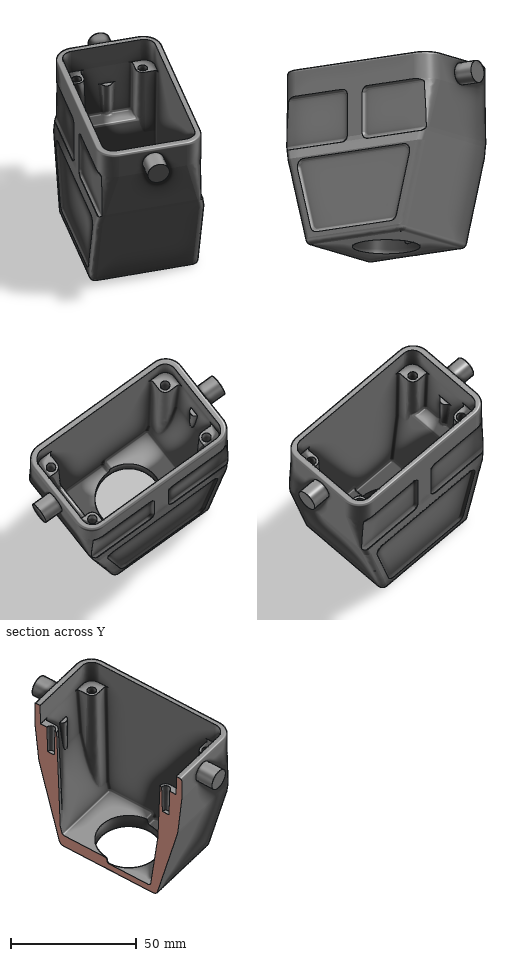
import cadquery as cq
import math

LENGTH = 89.2
HEIGHT = 72.1
WIDTH = 45.0

RIM_HALF_X = 36.6
RIM_HALF_Y = 21.6
RIM_CORNER = 7.6
RIM_BOTTOM_Z = 60.9
RIM_FILLET = 1.2
SHOULDER_TOP_Z = 41.4
SHOULDER_TOP_HALF_X = 34.6
SHOULDER_Z = 39.6
SHOULDER_HALF_X = 34.25
SHOULDER_HALF_Y = 21.8
SHOULDER_CORNER = 2.7
FLARE_Z = 35.7
BODY_HALF_Y = WIDTH / 2
BODY_CORNER = 2.6
BODY_SLOPE = 0.26
BASE_FILLET = 2.5

PEG_DIAMETER = 8.9
PEG_Z = 65.8
PEG_ROOT_X = 34.8

POCKET_DEPTH = 1.2
POCKET_INNER_X = 3.6
POCKET_TOP_Z = 61.1
POCKET_BOTTOM_Z = 39.6
POCKET_WALL = 1.2
POCKET_CORNER = 2.8
POCKET_FLOOR_FILLET = 1.1

PANEL_DEPTH = 0.9
PANEL_TOP_Z = 35.1
PANEL_BOTTOM_Z = 4.5
PANEL_TOP_HALF_X = 28.4
PANEL_WALL = 1.1
PANEL_CORNER = 3.1
PANEL_FLOOR_FILLET = 0.8

MOUTH_HALF_X = 33.7
MOUTH_HALF_Y = 19.1
MOUTH_CORNER = 4.7
WALL_DRAFT = 1.2
LEDGE_Z = 39.25
LEDGE_OUTER_X = 31.9
LEDGE_INNER_X = 25.3
DEEP_FLOOR_Z = 3.6
DEEP_FLOOR_END_X = 20.8
HIGH_FLOOR_Z = 6.2
END_WALL = 2.9
STEP_X = 0.5
CAVITY_FILLET = 1.25
HOLE_DIAMETER = 26.9

PILLAR_TOP_Z = 61.9
PILLAR_FACE_X = 25.5
PILLAR_FACE_Y = 10.7
PILLAR_CORNER = 2.9
PILLAR_DRAFT = 2.0
PILLAR_ROOT_Z = 13.4
PILLAR_ROOT_REACH = 3.0
SCREW_X = 28.45
SCREW_Y = 13.65
SCREW_TOP_DIAMETER = 3.75
SCREW_BOTTOM_DIAMETER = 3.0
SCREW_DEPTH = 13.4

RIB_RADIUS = 2.2
RIB_X = 33.2
RIB_TOP_Z = 53.9
RIB_FILLET = 1.6

CLEARANCE = 0.9


def wall_inset(z):
    """Distance by which the drafted cavity walls lean in between the rim and height z."""
    return (HEIGHT - z) * math.tan(math.radians(WALL_DRAFT))


WELL_HALF_X = MOUTH_HALF_X - wall_inset(PILLAR_TOP_Z)
WELL_HALF_Y = MOUTH_HALF_Y - wall_inset(PILLAR_TOP_Z)


def body_half_x(z):
    """Half length of the sloping lower body at height z."""
    return SHOULDER_HALF_X - BODY_SLOPE * (SHOULDER_Z - z)


def rounded_section(z, half_x, half_y, corner):
    """Rectangle with round corners, centred on the Z axis at height z."""
    sketch = cq.Sketch().rect(2 * half_x, 2 * half_y).vertices().fillet(corner)
    return sketch.moved(cq.Location(cq.Vector(0, 0, z)))


def outer_shell():
    tapered = (
        cq.Workplane("XY")
        .placeSketch(
            rounded_section(0, body_half_x(0), BODY_HALF_Y, BODY_CORNER),
            rounded_section(FLARE_Z, body_half_x(FLARE_Z), BODY_HALF_Y, BODY_CORNER),
            rounded_section(SHOULDER_Z, SHOULDER_HALF_X, SHOULDER_HALF_Y, SHOULDER_CORNER),
            rounded_section(SHOULDER_TOP_Z, SHOULDER_TOP_HALF_X, RIM_HALF_Y, SHOULDER_CORNER),
            rounded_section(RIM_BOTTOM_Z, RIM_HALF_X, RIM_HALF_Y, RIM_CORNER),
        )
        .loft(ruled=True)
        .faces("<Z")
        .edges()
        .fillet(BASE_FILLET)
    )
    rim = (
        cq.Workplane("XY")
        .placeSketch(rounded_section(RIM_BOTTOM_Z, RIM_HALF_X, RIM_HALF_Y, RIM_CORNER))
        .extrude(HEIGHT - RIM_BOTTOM_Z)
        .faces(">Z")
        .edges()
        .fillet(RIM_FILLET)
    )
    return tapered.union(rim)


def both_sides(solid):
    """A solid on the -Y side together with its mirror image on the +Y side."""
    return solid.union(solid.mirror("XZ"))


def recess(outline, face_y, depth, wall, corner, floor_fillet):
    """Recess with sloping walls, cut into the -Y side from the plane y = -face_y."""
    draft = math.degrees(math.atan(wall / depth))
    return (
        cq.Workplane("XZ", origin=(0, -face_y, 0))
        .polyline(outline)
        .close()
        .extrude(CLEARANCE)
        .edges("|Y")
        .fillet(corner)
        .faces(">Y")
        .wires()
        .toPending()
        .workplane()
        .extrude(depth, taper=draft)
        .faces(">Y")
        .edges()
        .fillet(floor_fillet)
    )


def pockets():
    open_end_x = RIM_HALF_X + 2 * POCKET_WALL
    outline = [
        (POCKET_INNER_X, POCKET_BOTTOM_Z),
        (open_end_x, POCKET_BOTTOM_Z),
        (open_end_x, POCKET_TOP_Z),
        (POCKET_INNER_X, POCKET_TOP_Z),
    ]
    pocket = recess(outline, RIM_HALF_Y, POCKET_DEPTH, POCKET_WALL, POCKET_CORNER, POCKET_FLOOR_FILLET)
    return both_sides(pocket.union(pocket.mirror("YZ")))


def panels():
    bottom_half_x = PANEL_TOP_HALF_X - BODY_SLOPE * (PANEL_TOP_Z - PANEL_BOTTOM_Z)
    outline = [
        (-bottom_half_x, PANEL_BOTTOM_Z),
        (bottom_half_x, PANEL_BOTTOM_Z),
        (PANEL_TOP_HALF_X, PANEL_TOP_Z),
        (-PANEL_TOP_HALF_X, PANEL_TOP_Z),
    ]
    panel = recess(outline, BODY_HALF_Y, PANEL_DEPTH, PANEL_WALL, PANEL_CORNER, PANEL_FLOOR_FILLET)
    return both_sides(panel)


def pegs():
    peg_length = LENGTH / 2 - PEG_ROOT_X
    peg = cq.Workplane("YZ", origin=(PEG_ROOT_X, 0, PEG_Z)).circle(PEG_DIAMETER / 2).extrude(peg_length)
    return peg.union(peg.mirror("YZ"))


def pillars():
    """Four drafted corner pillars, from their tops down into the sloping walls."""
    size_x = 2 * (WELL_HALF_X - PILLAR_FACE_X)
    size_y = 2 * (WELL_HALF_Y - PILLAR_FACE_Y)
    return (
        cq.Workplane("XY", origin=(0, 0, PILLAR_TOP_Z))
        .sketch()
        .push([(x * WELL_HALF_X, y * WELL_HALF_Y) for x in (-1, 1) for y in (-1, 1)])
        .rect(size_x, size_y)
        .reset()
        .vertices()
        .fillet(PILLAR_CORNER)
        .finalize()
        .extrude(-PILLAR_TOP_Z, taper=-PILLAR_DRAFT)
    )


def ribs():
    """Round posts sunk into the end walls, leaving half-round ribs inside the cavity."""
    return (
        cq.Workplane("XY")
        .pushPoints([(-RIB_X, 0), (RIB_X, 0)])
        .circle(RIB_RADIUS)
        .extrude(RIB_TOP_Z)
    )


def edges_within(half_x, half_y, bottom_z, top_z):
    """Selector for edges centred inside a box about the Z axis."""
    return cq.selectors.BoxSelector((-half_x, -half_y, bottom_z), (half_x, half_y, top_z))


def round_pillar_roots(space):
    """Round the upright inner corners where the pillars meet the end walls, then the long walls."""
    end_wall_root = (WELL_HALF_X, PILLAR_FACE_Y)
    long_wall_root = (PILLAR_FACE_X, WELL_HALF_Y)
    for root_x, root_y in (end_wall_root, long_wall_root):
        near_root = edges_within(root_x, root_y, PILLAR_ROOT_Z, PILLAR_TOP_Z - CLEARANCE)
        short_in_x = edges_within(root_x - PILLAR_ROOT_REACH, LENGTH, 0, HEIGHT)
        short_in_y = edges_within(LENGTH, root_y - PILLAR_ROOT_REACH, 0, HEIGHT)
        space = space.edges(near_root - short_in_x - short_in_y).fillet(CAVITY_FILLET)
    return space


def cavity():
    """Inner space: open mouth above the pillars, and below them a ledge and a stepped floor."""
    end_profile = [
        (WELL_HALF_X, PILLAR_TOP_Z),
        (SHOULDER_HALF_X - END_WALL, SHOULDER_Z),
        (body_half_x(HIGH_FLOOR_Z) - END_WALL, HIGH_FLOOR_Z),
        (STEP_X, HIGH_FLOOR_Z),
        (STEP_X, DEEP_FLOOR_Z),
        (-DEEP_FLOOR_END_X, DEEP_FLOOR_Z),
        (-LEDGE_INNER_X, LEDGE_Z),
        (-LEDGE_OUTER_X, LEDGE_Z),
        (-WELL_HALF_X, PILLAR_TOP_Z),
    ]
    floor_half_y = MOUTH_HALF_Y - wall_inset(DEEP_FLOOR_Z)
    side_profile = [
        (WELL_HALF_Y, PILLAR_TOP_Z),
        (floor_half_y, DEEP_FLOOR_Z),
        (-floor_half_y, DEEP_FLOOR_Z),
        (-WELL_HALF_Y, PILLAR_TOP_Z),
    ]
    bends = edges_within(LENGTH, WIDTH, 0, LEDGE_Z + CLEARANCE)
    side_walls = cq.Workplane("YZ").polyline(side_profile).close().extrude(LENGTH / 2, both=True)
    lower = (
        cq.Workplane("XZ")
        .polyline(end_profile)
        .close()
        .extrude(WIDTH / 2, both=True)
        .edges("|Y")
        .edges(bends)
        .fillet(CAVITY_FILLET)
        .intersect(side_walls)
    )
    lower = round_pillar_roots(lower.cut(pillars()))
    ledge_joint = cq.selectors.BoxSelector(
        (-LEDGE_OUTER_X - CLEARANCE, -RIB_RADIUS, LEDGE_Z - CLEARANCE),
        (-LEDGE_OUTER_X + RIB_RADIUS, RIB_RADIUS, LEDGE_Z + CLEARANCE),
    )
    lower = lower.cut(ribs()).edges(ledge_joint).edges("not |Y").fillet(RIB_FILLET)
    upper = (
        cq.Workplane("XY")
        .placeSketch(rounded_section(HEIGHT, MOUTH_HALF_X, MOUTH_HALF_Y, MOUTH_CORNER))
        .extrude(PILLAR_TOP_Z - HEIGHT, taper=WALL_DRAFT)
    )
    return upper.union(lower)


def screw_holes():
    cone = cq.Solid.makeCone(
        SCREW_TOP_DIAMETER / 2,
        SCREW_BOTTOM_DIAMETER / 2,
        SCREW_DEPTH,
        pnt=cq.Vector(0, 0, PILLAR_TOP_Z),
        dir=cq.Vector(0, 0, -1),
    )
    holes = cq.Workplane("XY")
    for x in (-SCREW_X, SCREW_X):
        for y in (-SCREW_Y, SCREW_Y):
            holes = holes.add(cone.moved(cq.Location(cq.Vector(x, y, 0))))
    return holes.combine()


def cable_hole():
    return cq.Workplane("XY").circle(HOLE_DIAMETER / 2).extrude(SHOULDER_Z)


result = outer_shell().cut(pockets()).cut(panels())
result = result.union(pegs()).cut(cavity())
result = result.cut(screw_holes())
result = result.cut(cable_hole())